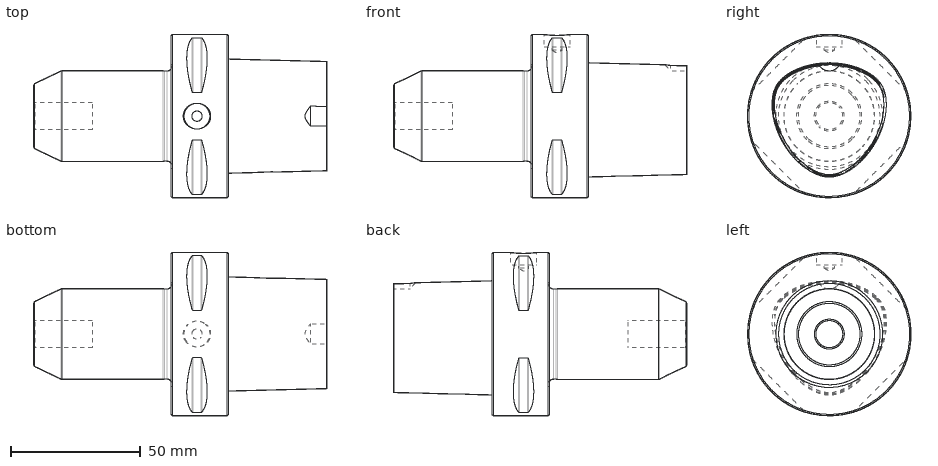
import cadquery as cq
import math

total_length = 113.0

nose_face_radius = 11.9
nose_rim_radius = 12.5
nose_rim_length = 0.3
nose_cone_end = 10.5
body_radius = 17.5
neck_radius = 17.4
body_start = 10.8
body_end = 50.0
neck_start = 50.4

flange_radius = 31.5
flange_start = 52.9
flange_end = 75.1
flange_chamfer = 0.6
undercut_radius = 20.6
neck_blend = 2.1
undercut_floor_x = 53.5

bore_radius = 5.2
bore_chamfer = 0.6
bore_depth = 22.6

shank_radius = 22.0
shank_lobe = 1.5
outline_points = 48
shank_taper = 1 / 40

groove_x = 62.9
groove_floor_distance = 27.8
groove_floor_width = 3.6
groove_wall_angle = 30.0
groove_corner_radius = 0.5
groove_angles = (45, 135, 225, 315)

hole_diameter = 10.0
hole_chamfer = 0.3
hole_depth = 5.0
centre_hole_diameter = 4.0
centre_hole_depth = 1.1
drill_tip_angle = 118.0

notch_radius = 4.5
notch_axis_z = 21.9
notch_length = 6.3
notch_tip_angle = 98.0


def turned_body():
    blend_x = undercut_floor_x - neck_blend
    blend_diagonal = neck_blend * math.sqrt(0.5)
    blend_middle = (blend_x + blend_diagonal, neck_radius + neck_blend - blend_diagonal)
    return (
        cq.Workplane("XY")
        .moveTo(0, 0)
        .lineTo(0, nose_face_radius)
        .lineTo(nose_rim_length, nose_rim_radius)
        .lineTo(nose_cone_end, neck_radius)
        .lineTo(body_start, body_radius)
        .lineTo(body_end, body_radius)
        .lineTo(neck_start, neck_radius)
        .lineTo(blend_x, neck_radius)
        .threePointArc(blend_middle, (undercut_floor_x, neck_radius + neck_blend))
        .lineTo(flange_start, undercut_radius)
        .lineTo(flange_start, flange_radius - flange_chamfer)
        .lineTo(flange_start + flange_chamfer, flange_radius)
        .lineTo(flange_end - flange_chamfer, flange_radius)
        .lineTo(flange_end, flange_radius - flange_chamfer)
        .lineTo(flange_end, 0)
        .close()
        .revolve(360, (0, 0, 0), (1, 0, 0))
    )


def lobed_wire(x, mean_radius):
    """Closed three-lobed curve across X with one lobe pointing to -Z."""
    points = []
    for step in range(outline_points):
        angle = 2 * math.pi * step / outline_points
        reach = mean_radius + shank_lobe * math.sin(3 * angle)
        slope = 3 * shank_lobe * math.cos(3 * angle)
        y = reach * math.cos(angle) - slope * math.sin(angle)
        z = reach * math.sin(angle) + slope * math.cos(angle)
        points.append(cq.Vector(x, y, z))
    return cq.Wire.assembleEdges([cq.Edge.makeSpline(points, periodic=True)])


def taper_shank():
    end_radius = shank_radius - (total_length - flange_end) * shank_taper
    root = lobed_wire(flange_end, shank_radius)
    end = lobed_wire(total_length, end_radius)
    return cq.Workplane(cq.Solid.makeLoft([root, end], True))


def nose_bore():
    mouth_radius = bore_radius + bore_chamfer
    return (
        cq.Workplane("XY")
        .polyline([
            (0, 0),
            (0, mouth_radius),
            (bore_chamfer, bore_radius),
            (bore_depth, bore_radius),
            (bore_depth, 0),
        ])
        .close()
        .revolve(360, (0, 0, 0), (1, 0, 0))
    )


def grip_groove(angle):
    height = flange_radius + 1.1 - groove_floor_distance
    half_floor = groove_floor_width / 2
    half_mouth = half_floor + height * math.tan(math.radians(groove_wall_angle))
    return (
        cq.Workplane("XZ", origin=(groove_x, 0, groove_floor_distance))
        .polyline([
            (-half_floor, 0),
            (half_floor, 0),
            (half_mouth, height),
            (-half_mouth, height),
        ])
        .close()
        .extrude(flange_radius, both=True)
        .faces("<Z")
        .edges("|Y")
        .fillet(groove_corner_radius)
        .rotate((0, 0, 0), (1, 0, 0), angle)
    )


def coding_hole():
    radius = hole_diameter / 2
    centre_radius = centre_hole_diameter / 2
    floor_z = flange_radius - hole_depth
    centre_z = floor_z - centre_hole_depth
    tip_z = centre_z - centre_radius / math.tan(math.radians(drill_tip_angle / 2))
    return (
        cq.Workplane("XZ")
        .polyline([
            (0, flange_radius),
            (radius + hole_chamfer, flange_radius),
            (radius, flange_radius - hole_chamfer),
            (radius, floor_z),
            (centre_radius, floor_z),
            (centre_radius, centre_z),
            (0, tip_z),
        ])
        .close()
        .revolve(360, (0, 0, 0), (0, 1, 0))
        .translate((groove_x, 0, 0))
    )


def drive_notch():
    start_x = total_length - notch_length
    tip_x = start_x - notch_radius / math.tan(math.radians(notch_tip_angle / 2))
    return (
        cq.Workplane("XY")
        .polyline([
            (tip_x, 0),
            (start_x, notch_radius),
            (total_length, notch_radius),
            (total_length, 0),
        ])
        .close()
        .revolve(360, (0, 0, 0), (1, 0, 0))
        .translate((0, 0, notch_axis_z))
    )


result = turned_body().union(taper_shank())
result = result.cut(nose_bore()).cut(coding_hole()).cut(drive_notch())
for groove_angle in groove_angles:
    result = result.cut(grip_groove(groove_angle))